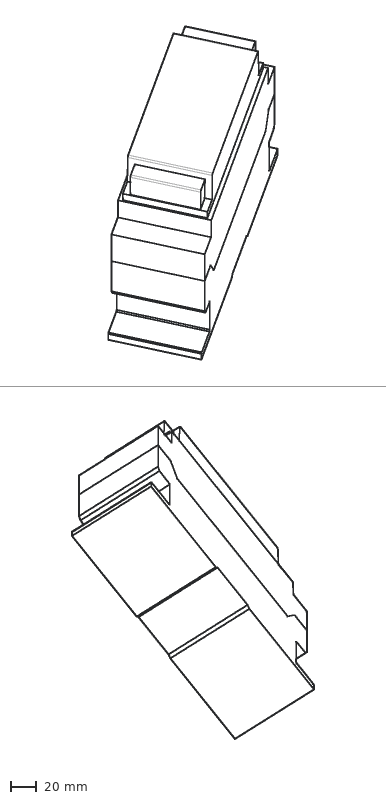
import cadquery as cq

BODY_WIDTH = 75.0
CAP_WIDTH = 68.0
BLOCK_WIDTH = 56.5

FOOT_HALF_LENGTH = 109.0
FOOT_TOP_Z = 7.8
FOOT_BEVEL = 0.9
FOOT_ROOT_BEVEL = 1.0
COLUMN_FRONT_Y = -85.0
COLUMN_BACK_Y = 83.7
OVERHANG_ROOT_Z = 42.3
OVERHANG_TIP_Z = 43.0
OVERHANG_WALL_Z = 47.0
OVERHANG_TIP_HALF_LENGTH = 97.7
BODY_HALF_LENGTH = 99.6
NOTCH_HALF_LENGTH = 22.5
NOTCH_DEPTH = 2.8
NOTCH_SLOPE_RUN = 2.5

PARTING_SIDE_Z = 82.6
PARTING_FLOOR_Z = 66.7
PARTING_SIDE_HALF_LENGTH = 82.8
PARTING_FLOOR_HALF_LENGTH = 74.0

SHOULDER_Z = 114.2
NECK_BOTTOM_HALF_LENGTH = 81.5
NECK_TOP_HALF_LENGTH = 80.9
NECK_TOP_Z = 133.6

CAP_TOP_Z = 170.0
FRONT_LEDGE_Z = 140.8
BACK_LEDGE_Z = 140.2
LEDGE_BOTTOM_HALF_LENGTH = 79.5
LEDGE_TOP_HALF_LENGTH = 79.4
CAP_WALL_BOTTOM_HALF_LENGTH = 66.5
CAP_WALL_TOP_HALF_LENGTH = 65.6
TOP_EDGE_RADIUS = 1.3

BLOCK_OUTER_BOTTOM_Y = 78.7
BLOCK_OUTER_TOP_Y = 78.3
FRONT_BLOCK_TOP_Z = 162.5
BACK_BLOCK_TOP_Z = 166.1


def extrude_profile(points, width):
    """Extrude a closed (Y, Z) outline symmetrically along X."""
    return cq.Workplane("YZ").polyline(points).close().extrude(width / 2, both=True)


def parting_line():
    """Points of the dished parting line, from -Y to +Y."""
    return [
        (-BODY_HALF_LENGTH, PARTING_SIDE_Z),
        (-PARTING_SIDE_HALF_LENGTH, PARTING_SIDE_Z),
        (-PARTING_FLOOR_HALF_LENGTH, PARTING_FLOOR_Z),
        (PARTING_FLOOR_HALF_LENGTH, PARTING_FLOOR_Z),
        (PARTING_SIDE_HALF_LENGTH, PARTING_SIDE_Z),
        (BODY_HALF_LENGTH, PARTING_SIDE_Z),
    ]


def base_end(side, column_y):
    """Outline of one base end, from the foot up to the overhang; side is -1 or +1."""
    return [
        (side * FOOT_HALF_LENGTH, 0),
        (side * FOOT_HALF_LENGTH, FOOT_TOP_Z - FOOT_BEVEL),
        (side * (FOOT_HALF_LENGTH - FOOT_BEVEL), FOOT_TOP_Z),
        (column_y + side * FOOT_ROOT_BEVEL, FOOT_TOP_Z),
        (column_y, FOOT_TOP_Z + FOOT_ROOT_BEVEL),
        (column_y, OVERHANG_ROOT_Z),
        (side * OVERHANG_TIP_HALF_LENGTH, OVERHANG_TIP_Z),
        (side * BODY_HALF_LENGTH, OVERHANG_WALL_Z),
    ]


def make_base():
    """Base with two mounting feet and a shallow notch across its underside."""
    notch_roof_half_length = NOTCH_HALF_LENGTH - NOTCH_SLOPE_RUN
    notch = [
        (NOTCH_HALF_LENGTH, 0),
        (notch_roof_half_length, NOTCH_DEPTH),
        (-notch_roof_half_length, NOTCH_DEPTH),
        (-NOTCH_HALF_LENGTH, 0),
    ]
    front_end = base_end(-1, COLUMN_FRONT_Y)
    back_end = base_end(1, COLUMN_BACK_Y)
    outline = front_end + parting_line() + back_end[::-1] + notch
    return extrude_profile(outline, BODY_WIDTH)


def make_cap():
    """Narrower, drafted top of the housing with a ledge at each end."""
    outline = [
        (-LEDGE_BOTTOM_HALF_LENGTH, NECK_TOP_Z),
        (-LEDGE_TOP_HALF_LENGTH, FRONT_LEDGE_Z),
        (-CAP_WALL_BOTTOM_HALF_LENGTH, FRONT_LEDGE_Z),
        (-CAP_WALL_TOP_HALF_LENGTH, CAP_TOP_Z),
        (CAP_WALL_TOP_HALF_LENGTH, CAP_TOP_Z),
        (CAP_WALL_BOTTOM_HALF_LENGTH, BACK_LEDGE_Z),
        (LEDGE_TOP_HALF_LENGTH, BACK_LEDGE_Z),
        (LEDGE_BOTTOM_HALF_LENGTH, NECK_TOP_Z),
    ]
    cap = extrude_profile(outline, CAP_WIDTH)
    return cap.faces(">Z").edges("|X").fillet(TOP_EDGE_RADIUS)


def make_housing():
    """Housing that fits the dished parting line and carries the cap."""
    shoulders = [
        (BODY_HALF_LENGTH, SHOULDER_Z),
        (NECK_BOTTOM_HALF_LENGTH, SHOULDER_Z),
        (NECK_TOP_HALF_LENGTH, NECK_TOP_Z),
        (-NECK_TOP_HALF_LENGTH, NECK_TOP_Z),
        (-NECK_BOTTOM_HALF_LENGTH, SHOULDER_Z),
        (-BODY_HALF_LENGTH, SHOULDER_Z),
    ]
    return extrude_profile(parting_line() + shoulders, BODY_WIDTH).union(make_cap())


def make_terminal_block(side, ledge_z, top_z):
    """Block on a cap ledge, its inner face lying on the drafted cap wall."""
    wall_draft = CAP_WALL_BOTTOM_HALF_LENGTH - CAP_WALL_TOP_HALF_LENGTH
    height_fraction = (top_z - ledge_z) / (CAP_TOP_Z - ledge_z)
    inner_top_y = CAP_WALL_BOTTOM_HALF_LENGTH - wall_draft * height_fraction
    outline = [
        (side * CAP_WALL_BOTTOM_HALF_LENGTH, ledge_z),
        (side * BLOCK_OUTER_BOTTOM_Y, ledge_z),
        (side * BLOCK_OUTER_TOP_Y, top_z),
        (side * inner_top_y, top_z),
    ]
    block = extrude_profile(outline, BLOCK_WIDTH)
    outer_edge = ">Y" if side > 0 else "<Y"
    return block.faces(">Z").edges(outer_edge).fillet(TOP_EDGE_RADIUS)


base = make_base()
housing = make_housing()

BLOCK_PLACES = [
    (-1, FRONT_LEDGE_Z, FRONT_BLOCK_TOP_Z),
    (1, BACK_LEDGE_Z, BACK_BLOCK_TOP_Z),
]
terminal_blocks = []
for side, ledge_z, top_z in BLOCK_PLACES:
    terminal_blocks.append(make_terminal_block(side, ledge_z, top_z).val())

result = cq.Compound.makeCompound([base.val(), housing.val(), *terminal_blocks])